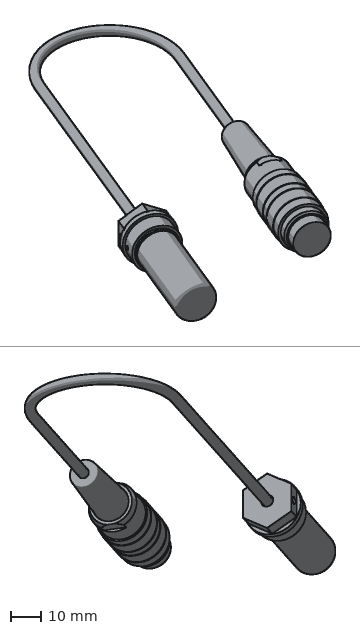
import cadquery as cq

total_length = 168.8
axis_spacing = 50.0

cable_diameter = 3.7
bend_radius = axis_spacing / 2
cable_entry_diameter = 4.2
cable_entry_depth = 1.7

sensor_start = 119.2
hex_across_flats = 17.0
hex_length = 5.2
flange_diameter = 20.0
flange_end = 126.6
collar_diameter = 18.0
collar_end = 132.7
step_diameter = 16.0
step_end = 133.7
barrel_diameter = 15.0
barrel_rounding = 2.2

screw_hole_diameter = 2.5
screw_hole_depth = 0.8
screw_hole_tip_depth = 1.7
collar_hole_diameter = 1.49
collar_hole_x = 128.5
collar_hole_depth = 0.8

sleeve_start = 77.0
sleeve_small_diameter = 10.0
sleeve_large_diameter = 12.7
sleeve_rounding = 0.5
nut_start = 104.5
nut_start_diameter = 15.0
nut_diameter = 16.9
nut_taper_length = 2.0
nut_end = 115.7
nut_flat_spacing = 14.9
nut_flat_end = 108.7
shell_diameter = 18.0
shell_end = 138.5
ring_diameter = 18.5
ring_length = 5.9
ring_starts = (119.2, 128.5)
shoulder_diameter = 16.0
shoulder_end = 142.0
shoulder_chamfer = 0.7
plug_diameter = 13.5
plug_end = 146.4

bend_center_x = bend_radius + cable_diameter / 2
hex_middle = sensor_start + hex_length / 2


def cylinder(start, end, diameter, axis_y):
    """A solid cylinder along X between two positions."""
    return cq.Workplane("YZ", origin=(start, axis_y, 0)).circle(diameter / 2).extrude(end - start)


def cone(start, end, start_diameter, end_diameter, axis_y):
    """A truncated cone along X between two positions."""
    return (
        cq.Workplane("YZ", origin=(start, axis_y, 0))
        .circle(start_diameter / 2)
        .workplane(offset=end - start)
        .circle(end_diameter / 2)
        .loft(ruled=True)
    )


def make_cable():
    """The U-shaped cable, from inside the sensor hexagon to inside the connector sleeve."""
    path = (
        cq.Workplane("XY")
        .moveTo(hex_middle, 0)
        .lineTo(bend_center_x, 0)
        .threePointArc((bend_center_x - bend_radius, bend_radius), (bend_center_x, axis_spacing))
        .lineTo(nut_start, axis_spacing)
    )
    return (
        cq.Workplane("YZ", origin=(hex_middle, 0, 0))
        .circle(cable_diameter / 2)
        .sweep(path)
    )


def make_sensor():
    hex_end = sensor_start + hex_length
    sensor = (
        cq.Workplane("YZ", origin=(sensor_start, 0, 0))
        .polygon(6, hex_across_flats, circumscribed=True)
        .extrude(hex_length)
    )
    cable_entry = cylinder(sensor_start, sensor_start + cable_entry_depth, cable_entry_diameter, 0)
    sensor = sensor.cut(cable_entry)
    sensor = sensor.union(cylinder(hex_end, flange_end, flange_diameter, 0))
    sensor = sensor.union(cylinder(flange_end, collar_end, collar_diameter, 0))
    sensor = sensor.union(cylinder(collar_end, step_end, step_diameter, 0))
    barrel = cylinder(step_end, total_length, barrel_diameter, 0)
    barrel = barrel.faces(">X").edges().fillet(barrel_rounding)
    sensor = sensor.union(barrel)

    flat_y = -hex_across_flats / 2
    screw_hole = (
        cq.Workplane("XY", origin=(hex_middle, 0, 0))
        .moveTo(0, flat_y)
        .lineTo(screw_hole_diameter / 2, flat_y)
        .lineTo(screw_hole_diameter / 2, flat_y + screw_hole_depth)
        .lineTo(0, flat_y + screw_hole_tip_depth)
        .close()
        .revolve(360, (0, 0, 0), (0, 1, 0))
    )
    collar_hole = (
        cq.Workplane("XZ", origin=(collar_hole_x, -collar_diameter / 2 + collar_hole_depth, 0))
        .circle(collar_hole_diameter / 2)
        .extrude(collar_diameter)
    )
    return sensor.cut(screw_hole).cut(collar_hole)


def make_nut():
    taper_end = nut_start + nut_taper_length
    nut = cone(nut_start, taper_end, nut_start_diameter, nut_diameter, axis_spacing)
    nut = nut.union(cylinder(taper_end, nut_end, nut_diameter, axis_spacing))
    flat_length = nut_flat_end - nut_start
    for side in (-1, 1):
        flat_cut = cq.Workplane("XY").box(flat_length, nut_diameter, nut_diameter).translate(
            (nut_start + flat_length / 2, axis_spacing, side * (nut_flat_spacing + nut_diameter) / 2)
        )
        nut = nut.cut(flat_cut)
    return nut


def make_connector():
    sleeve = cone(sleeve_start, nut_start, sleeve_small_diameter, sleeve_large_diameter, axis_spacing)
    sleeve = sleeve.faces("<X").edges().fillet(sleeve_rounding)
    connector = sleeve.union(make_nut())
    connector = connector.union(cylinder(nut_end, shell_end, shell_diameter, axis_spacing))
    for ring_start in ring_starts:
        connector = connector.union(
            cylinder(ring_start, ring_start + ring_length, ring_diameter, axis_spacing)
        )
    shoulder = cylinder(shell_end, shoulder_end, shoulder_diameter, axis_spacing)
    shoulder = shoulder.faces(">X").edges().chamfer(shoulder_chamfer)
    connector = connector.union(shoulder)
    return connector.union(cylinder(shoulder_end, plug_end, plug_diameter, axis_spacing))


result = make_cable().union(make_sensor()).union(make_connector())